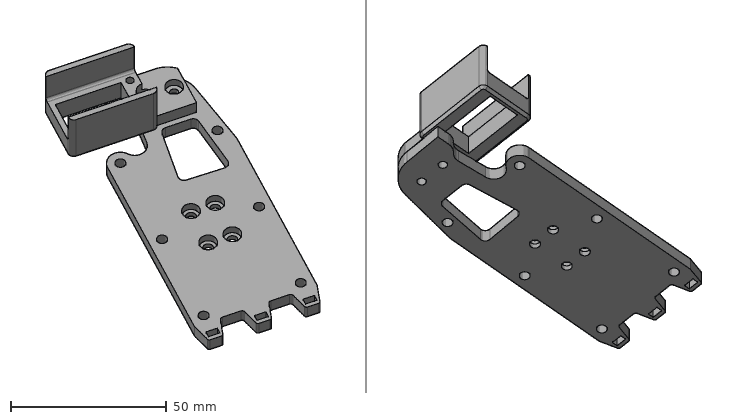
import cadquery as cq
import math

plate_thickness = 5.0
hole_pitch = 34.0
corner_radius = 4.5
half_width = hole_pitch / 2 + corner_radius
mount_hole_diameter = 3.5

end_x = 37.0
tab_tip_x = 44.0
tab_root_half_width = 4.5
tab_tip_half_width = 2.55
tab_tip_radius = 0.75
tab_root_radius = 1.0
tab_slot_length = 4.0
tab_slot_width = 2.1
tab_slot_x = 41.55
tab_spacing = hole_pitch / 2
tab_overlap = 1.0

nose_arc_end_x = -61.56
nose_radius = 10.95
nose_arc_end_y = 6.75
taper_angle = math.radians(9.8)
nose_bottom = (-61.8, -8.2)
step_start_x = -56.9
step_end_x = -49.7
step_radius = 4.3
step_angle = math.radians(50.0)
notch_edge_angle = math.radians(4.6)
notch_radius = 4.1
notch_x = -38.9

window_left_x = -41.65
window_right_top = (-18.95, 15.4)
window_right_bottom = (-19.35, -2.45)
window_left_top_y = 12.72
window_left_bottom_y = 0.34
window_radius = 2.0

centre_hole_pitch_x = 14.0
centre_hole_pitch_y = 8.5
centre_hole_offset_y = 0.4
centre_hole_diameter = 3.5
counterbore_diameter = 6.0
plate_counterbore_depth = 3.0

bracket_width = 22.0
bracket_length = 31.0
bracket_height = 20.0
bracket_x = -52.5
bracket_back_y = -0.28
bracket_front_y = bracket_back_y - bracket_length
wall = 2.0
floor_thickness = 8.0
channel_width = bracket_width - 2 * wall
outer_radius = 2.0
bottom_chamfer = 1.0
channel_radius = 1.0

opening_width = 12.0
opening_length = 23.0
opening_rim = 2.0

pilot_diameter = 2.6
pilot_spacing = 11.3
pilot_setback = 3.0

tongue_thickness = 5.0
tongue_length = 14.0
screw_diameter = 3.0
screw_pitch = 10.0
tongue_counterbore_depth = 3.0
screw_x = -52.3
screw_first_y = -0.35
screw_points = [(screw_x, screw_first_y + i * screw_pitch) for i in range(2)]


def prism(points, bottom, height):
    return cq.Workplane("XY").workplane(offset=bottom).polyline(points).close().extrude(height)


def cylinders(points, diameter, bottom, height):
    plane = cq.Workplane("XY").workplane(offset=bottom)
    return plane.pushPoints(points).circle(diameter / 2).extrude(height)


def on_circle(centre, radius, angle):
    return (centre[0] + radius * math.cos(angle), centre[1] + radius * math.sin(angle))


def plate_outline(height):
    """Solid on the plate outline, without the strap tabs."""
    nose_arc_end = (nose_arc_end_x, nose_arc_end_y)
    edge_lean = math.atan2(nose_arc_end[0] - nose_bottom[0], nose_arc_end[1] - nose_bottom[1])
    nose_centre = on_circle(nose_arc_end, nose_radius, -edge_lean)
    taper_start = on_circle(nose_centre, nose_radius, math.pi / 2 + taper_angle)
    nose_middle = on_circle(nose_centre, nose_radius, 3 * math.pi / 4)
    taper_end_x = taper_start[0] + (half_width - taper_start[1]) / math.tan(taper_angle)

    lobe_centre = (-hole_pitch, -hole_pitch / 2)
    notch_run = notch_x - lobe_centre[0]
    notch_rise = math.sqrt((corner_radius + notch_radius) ** 2 - notch_run ** 2)
    notch_centre = (notch_x, lobe_centre[1] + notch_rise)
    notch_start = on_circle(notch_centre, notch_radius, math.pi / 2 - notch_edge_angle)
    joint_angle = math.atan2(notch_rise, notch_run)
    lobe_notch_joint = on_circle(lobe_centre, corner_radius, joint_angle)
    notch_middle = on_circle(notch_centre, notch_radius, 0)
    lobe_middle = on_circle(lobe_centre, corner_radius, math.pi)

    step_start = (step_start_x, nose_bottom[1])
    step_centre = (step_start_x, nose_bottom[1] + step_radius)
    step_quarter = on_circle(step_centre, step_radius, (step_angle - math.pi) / 2)
    step_middle = on_circle(step_centre, step_radius, step_angle - math.pi / 2)
    step_end_y = notch_start[1] + (notch_start[0] - step_end_x) * math.tan(notch_edge_angle)

    return (
        cq.Workplane("XY")
        .moveTo(end_x, half_width)
        .lineTo(taper_end_x, half_width)
        .lineTo(*taper_start)
        .threePointArc(nose_middle, nose_arc_end)
        .lineTo(*nose_bottom)
        .lineTo(*step_start)
        .threePointArc(step_quarter, step_middle)
        .tangentArcPoint((step_end_x, step_end_y), relative=False)
        .lineTo(*notch_start)
        .threePointArc(notch_middle, lobe_notch_joint)
        .threePointArc(lobe_middle, (lobe_centre[0], -half_width))
        .lineTo(end_x, -half_width)
        .close()
        .extrude(height)
    )


def strap_tab(y):
    root, tip = tab_root_half_width, tab_tip_half_width
    overlap_x = end_x - tab_overlap
    tab = prism(
        [(overlap_x, y - root), (end_x, y - root), (tab_tip_x, y - tip),
         (tab_tip_x, y + tip), (end_x, y + root), (overlap_x, y + root)],
        0, plate_thickness,
    )
    return tab.edges("|Z").edges(">X").fillet(tab_tip_radius)


def make_plate():
    plate = plate_outline(plate_thickness)
    tab_ys = [i * tab_spacing for i in (-1, 0, 1)]
    for y in tab_ys:
        plate = plate.union(strap_tab(y))
    plate = plate.clean()
    inner_roots = cq.selectors.BoxSelector(
        (end_x - tab_root_radius, -hole_pitch / 2, -plate_thickness),
        (end_x + tab_root_radius, hole_pitch / 2, 2 * plate_thickness),
    )
    plate = plate.edges("|Z").edges(inner_roots).fillet(tab_root_radius)

    slots = (
        cq.Workplane("XY").pushPoints([(tab_slot_x, y) for y in tab_ys])
        .rect(tab_slot_width, tab_slot_length).extrude(plate_thickness)
    )
    window = prism(
        [(window_left_x, window_left_bottom_y), window_right_bottom,
         window_right_top, (window_left_x, window_left_top_y)],
        0, plate_thickness,
    ).edges("|Z").fillet(window_radius)
    mounts = [(i * hole_pitch, j * hole_pitch / 2) for i in (-1, 0, 1) for j in (-1, 1)]
    centre_holes = [
        (i * centre_hole_pitch_x / 2, centre_hole_offset_y + j * centre_hole_pitch_y / 2)
        for i in (-1, 1) for j in (-1, 1)
    ]
    counterbore_floor = plate_thickness - plate_counterbore_depth
    return (
        plate.cut(slots).cut(window)
        .cut(cylinders(mounts, mount_hole_diameter, 0, plate_thickness))
        .cut(cylinders(centre_holes, centre_hole_diameter, 0, plate_thickness))
        .cut(cylinders(centre_holes, counterbore_diameter, counterbore_floor, plate_counterbore_depth))
        .cut(cylinders(screw_points, screw_diameter, 0, plate_thickness))
    )


def make_bracket():
    bottom = plate_thickness
    floor_top = bottom + floor_thickness
    centre_y = bracket_back_y - bracket_length / 2

    cradle = (
        cq.Workplane("XY").workplane(offset=bottom).center(bracket_x, centre_y)
        .rect(bracket_width, bracket_length).extrude(bracket_height)
        .edges("|Z").fillet(outer_radius)
        .faces("<Z").edges().chamfer(bottom_chamfer)
    )
    channel = (
        cq.Workplane("XY").workplane(offset=floor_top).center(bracket_x, centre_y)
        .rect(channel_width, bracket_length).extrude(bracket_height)
        .edges("|Y and <Z").fillet(channel_radius)
    )

    tongue_back_y = bracket_back_y + tongue_length
    tongue = (
        cq.Workplane("XY").workplane(offset=bottom)
        .center(bracket_x, tongue_back_y - (tongue_length + pilot_setback) / 2)
        .rect(channel_width, tongue_length + pilot_setback).extrude(tongue_thickness)
    )
    tongue = tongue.intersect(plate_outline(bottom + tongue_thickness))

    opening = (
        cq.Workplane("XY").workplane(offset=bottom)
        .center(bracket_x, bracket_front_y + opening_rim + opening_length / 2)
        .rect(opening_width, opening_length).extrude(floor_thickness)
    )
    pilots = [(bracket_x + s * pilot_spacing / 2, bracket_back_y - pilot_setback) for s in (-1, 1)]
    counterbore_floor = bottom + tongue_thickness - tongue_counterbore_depth
    return (
        cradle.cut(channel).union(tongue).cut(opening)
        .cut(cylinders(pilots, pilot_diameter, bottom, floor_thickness))
        .cut(cylinders(screw_points, screw_diameter, bottom, floor_thickness))
        .cut(cylinders(screw_points, counterbore_diameter, counterbore_floor, bracket_height))
    )


plate = make_plate()
bracket = make_bracket()
result = cq.Compound.makeCompound([plate.val(), bracket.val()])